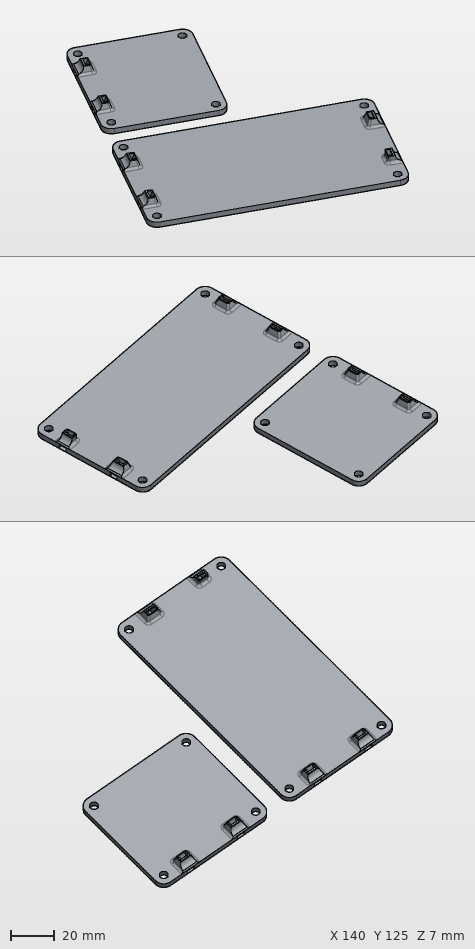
import cadquery as cq
import math

PLATE_WIDTH = 65
PLATE_THICKNESS = 3
PLATE_GAP = 10
SHORT_LENGTH = 60
LONG_LENGTH = 125
CORNER_RADIUS = 5
HOLE_DIAMETER = 4
HOLE_INSET = 5

CLIP_HEIGHT = 4
CLIP_PITCH = 30
CLIP_INSET = 17
TOTAL_HEIGHT = PLATE_THICKNESS + CLIP_HEIGHT

TUNNEL_WIDTH = 4.2
TUNNEL_INNER_RADIUS = 4.5
TUNNEL_OUTER_RADIUS = 6.7
FACE_RADIUS = 3.4
LIP_REACH = 2 * (CLIP_HEIGHT - FACE_RADIUS)

SIDE_WALL = 0.9
BACK_WALL = 0.3
TOP_CHAMFER = 0.2
UPRIGHT_RADIUS = 1.0
BASE_FILLET = 1.5
WALL_DRAFT = 19
NO_DRAFT = 0

OVERHANG = 8
SLAB_MARGIN = 2 * BASE_FILLET
TRIM_WIDTH = 20


def bend_cylinder(radius, width):
    """Cylinder along X on the bend axis, centred on the clip."""
    return (
        cq.Workplane("YZ", origin=(-width / 2, 0, TOTAL_HEIGHT))
        .circle(radius)
        .extrude(width)
    )


def tie_tunnel():
    """Curved slot from the hump's top down to the plate's edge face."""
    outer = bend_cylinder(TUNNEL_OUTER_RADIUS, TUNNEL_WIDTH)
    return outer.cut(bend_cylinder(TUNNEL_INNER_RADIUS, TUNNEL_WIDTH))


def base_slab(half_width, back):
    """Temporary slab under the hump, flush with the plate's top face."""
    return (
        cq.Workplane("XY", origin=(0, (back - OVERHANG) / 2, 0))
        .rect(2 * (half_width + SLAB_MARGIN), back + OVERHANG + 2 * SLAB_MARGIN)
        .extrude(PLATE_THICKNESS)
    )


def foot_edges(half_width, back):
    """Selector for the edges where the hump meets the base slab."""
    margin = SLAB_MARGIN / 2
    return cq.selectors.BoxSelector(
        (-half_width - margin, -OVERHANG - margin, PLATE_THICKNESS - margin / 2),
        (half_width + margin, back + margin, PLATE_THICKNESS + margin / 2),
    )


def front_cutter():
    """Everything beyond the plate edge, plus the 45 degree lip along it."""
    return (
        cq.Workplane("YZ", origin=(-TRIM_WIDTH / 2, 0, 0))
        .moveTo(0, 0)
        .lineTo(0, PLATE_THICKNESS)
        .lineTo(LIP_REACH, PLATE_THICKNESS + LIP_REACH)
        .lineTo(0, TOTAL_HEIGHT)
        .lineTo(-2 * OVERHANG, TOTAL_HEIGHT)
        .lineTo(-2 * OVERHANG, 0)
        .close()
        .extrude(TRIM_WIDTH)
    )


def clip_hump(draft):
    """Hump on an edge at Y = 0, reaching inward along +Y."""
    spread = CLIP_HEIGHT * math.tan(math.radians(draft))
    half_width = TUNNEL_WIDTH / 2 + SIDE_WALL + spread
    back = TUNNEL_OUTER_RADIUS + BACK_WALL + spread

    hump = (
        cq.Workplane("XY", origin=(0, (back - OVERHANG) / 2, PLATE_THICKNESS))
        .rect(2 * half_width, back + OVERHANG)
        .extrude(CLIP_HEIGHT, taper=draft)
        .edges("not(|X or |Y)")
        .edges(">Y")
        .fillet(UPRIGHT_RADIUS)
    )

    slab = base_slab(half_width, back)
    hump = hump.union(slab).edges(foot_edges(half_width, back)).fillet(BASE_FILLET).cut(slab)

    hump = hump.cut(bend_cylinder(FACE_RADIUS, TRIM_WIDTH)).cut(front_cutter())
    return hump.faces(">Z").edges().chamfer(TOP_CHAMFER)


def plate(length, clips):
    """Drilled plate with clips given as (x, y, turn in degrees, draft)."""
    body = (
        cq.Workplane("XY")
        .rect(PLATE_WIDTH, length, centered=False)
        .extrude(PLATE_THICKNESS)
        .edges("|Z")
        .fillet(CORNER_RADIUS)
    )
    holes = (
        cq.Workplane("XY", origin=(PLATE_WIDTH / 2, length / 2, 0))
        .rect(PLATE_WIDTH - 2 * HOLE_INSET, length - 2 * HOLE_INSET, forConstruction=True)
        .vertices()
        .circle(HOLE_DIAMETER / 2)
        .extrude(PLATE_THICKNESS)
    )
    body = body.cut(holes)
    for x, y, turn, draft in clips:
        place = cq.Location(cq.Vector(x, y, 0), cq.Vector(0, 0, 1), turn)
        hump = clip_hump(draft).val().moved(place)
        tunnel = tie_tunnel().val().moved(place)
        body = body.union(cq.Workplane(hump)).cut(cq.Workplane(tunnel))
    return body


short_plate = plate(
    SHORT_LENGTH,
    [(CLIP_INSET + i * CLIP_PITCH, 0, 0, WALL_DRAFT) for i in range(2)],
)

right_clip = PLATE_WIDTH - CLIP_INSET
left_clip = right_clip - CLIP_PITCH
long_plate = plate(
    LONG_LENGTH,
    [
        (left_clip, 0, 0, WALL_DRAFT),
        (right_clip, 0, 0, WALL_DRAFT),
        (left_clip, LONG_LENGTH, 180, WALL_DRAFT),
        (right_clip, LONG_LENGTH, 180, NO_DRAFT),
    ],
).translate((PLATE_WIDTH + PLATE_GAP, 0, 0))

result = cq.Compound.makeCompound([short_plate.val(), long_plate.val()])